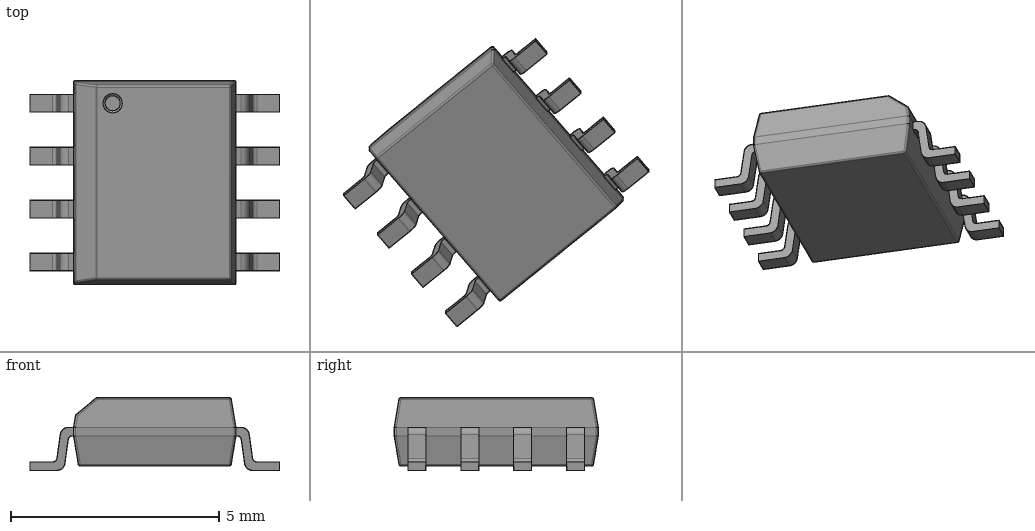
import cadquery as cq
import math

BODY_LENGTH_X = 3.9
BODY_WIDTH_Y = 4.9
LEAD_SPAN = 6.0
TOP_Z = 1.75
STANDOFF = 0.11
EDGE_RADIUS = 0.05

LEADS_PER_SIDE = 4
LEAD_PITCH = 1.27
LEAD_WIDTH = 0.43
LEAD_THICKNESS = 0.21
LEAD_TOP_Z = 1.04
SHIN_LEAN = math.radians(8)
INNER_BEND_RADIUS = 0.1
OUTER_BEND_RADIUS = 0.2
SHIN_TOP_X = -2.245

BELT_TOP_Z = LEAD_TOP_Z
BELT_BOTTOM_Z = LEAD_TOP_Z - LEAD_THICKNESS
MOULD_DRAFT = 9.5

BEVEL_TOP_X = -1.4
BEVEL_LOW_X = -1.91
BEVEL_LOW_Z = 1.325

DIMPLE_X = -1.01
DIMPLE_Y = 1.905
DIMPLE_RADIUS = 0.23
DIMPLE_FLOOR_RADIUS = 0.18
DIMPLE_DEPTH = 0.03


def drafted_half(start_z, height):
    """Body half that narrows from the belt; a negative height grows downward."""
    return (
        cq.Workplane("XY")
        .workplane(offset=start_z)
        .rect(BODY_LENGTH_X, BODY_WIDTH_Y)
        .extrude(height, taper=MOULD_DRAFT)
    )


def bevel_cutter():
    """Prism that removes everything outside the pin 1 bevel plane."""
    slope = (TOP_Z - BEVEL_LOW_Z) / (BEVEL_TOP_X - BEVEL_LOW_X)
    overshoot = 0.2
    low = (BEVEL_LOW_X - overshoot, BEVEL_LOW_Z - overshoot * slope)
    high = (BEVEL_TOP_X + overshoot, TOP_Z + overshoot * slope)
    return (
        cq.Workplane("XZ")
        .polyline([low, high, (low[0], high[1])])
        .close()
        .extrude(BODY_WIDTH_Y, both=True)
    )


def dimple_cutter():
    return (
        cq.Workplane("XY", origin=(DIMPLE_X, DIMPLE_Y, TOP_Z - DIMPLE_DEPTH))
        .circle(DIMPLE_FLOOR_RADIUS)
        .workplane(offset=DIMPLE_DEPTH)
        .circle(DIMPLE_RADIUS)
        .loft()
    )


def make_body():
    belt = (
        cq.Workplane("XY")
        .workplane(offset=BELT_BOTTOM_Z)
        .rect(BODY_LENGTH_X, BODY_WIDTH_Y)
        .extrude(BELT_TOP_Z - BELT_BOTTOM_Z)
    )
    upper = drafted_half(BELT_TOP_Z, TOP_Z - BELT_TOP_Z)
    lower = drafted_half(BELT_BOTTOM_Z, STANDOFF - BELT_BOTTOM_Z)
    body = belt.union(upper).union(lower).cut(bevel_cutter())

    belt_levels = (BELT_BOTTOM_Z, BELT_TOP_Z)
    tolerance = 1e-4

    def is_rounded(edge):
        bounds = edge.BoundingBox()
        level = bounds.zlen < tolerance
        on_belt = any(abs(edge.Center().z - z) < tolerance for z in belt_levels)
        return not (level and on_belt)

    body = body.edges().filter(is_rounded).fillet(EDGE_RADIUS)
    return body.cut(dimple_cutter())


def make_lead(center_y, turn):
    """Gull-wing lead on the -X side, turned about Z to its own side."""
    foot_x = -LEAD_SPAN / 2
    shoulder_x = -BODY_LENGTH_X / 2
    lean = math.tan(SHIN_LEAN)
    shin_width_x = LEAD_THICKNESS / math.cos(SHIN_LEAN)

    def outer_shin(z):
        return (SHIN_TOP_X - (LEAD_TOP_Z - z) * lean, z)

    def inner_shin(z):
        return (outer_shin(z)[0] + shin_width_x, z)

    strip = (
        cq.Workplane("XZ")
        .polyline([
            (foot_x, 0),
            inner_shin(0),
            inner_shin(BELT_BOTTOM_Z),
            (shoulder_x, BELT_BOTTOM_Z),
            (shoulder_x, LEAD_TOP_Z),
            outer_shin(LEAD_TOP_Z),
            outer_shin(LEAD_THICKNESS),
            (foot_x, LEAD_THICKNESS),
        ])
        .close()
        .extrude(LEAD_WIDTH / 2, both=True)
    )

    def round_bend(solid, corners, radius):
        for x, z in corners:
            edge = cq.selectors.NearestToPointSelector((x, 0, z))
            solid = solid.edges("|Y").edges(edge).fillet(radius)
        return solid

    strip = round_bend(strip, [inner_shin(BELT_BOTTOM_Z), outer_shin(LEAD_THICKNESS)], INNER_BEND_RADIUS)
    strip = round_bend(strip, [inner_shin(0), outer_shin(LEAD_TOP_Z)], OUTER_BEND_RADIUS)
    return strip.rotate((0, 0, 0), (0, 0, 1), turn).translate((0, center_y, 0))


body = make_body()

first_lead_y = -LEAD_PITCH * (LEADS_PER_SIDE - 1) / 2
leads = []
for turn in (0, 180):
    for index in range(LEADS_PER_SIDE):
        leads.append(make_lead(first_lead_y + index * LEAD_PITCH, turn))

result = cq.Compound.makeCompound([body.val(), *[lead.val() for lead in leads]])